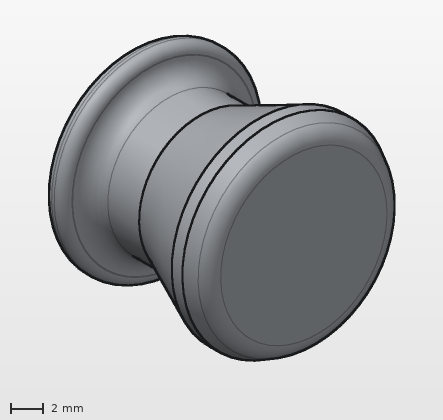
import cadquery as cq
import math

body_radius = 8.19
length = 16.15

front_round_end = 1.79
flange_radius = 8.06
flange_back = 2.8
rim_round = 0.77

neck_radius = 5.72
neck_fillet = 1.52
neck_end = 7.32

flare_end = 13.45
land_end = 14.46
bevel_end = 15.41
bevel_radius = 7.73

diagonal = math.sqrt(0.5)


def polar_point(center, radius, angle):
    """Return the (axial, radial) point at an angle from the axis direction."""
    return (
        center[0] + radius * math.cos(angle),
        center[1] + radius * math.sin(angle),
    )


round_center = (front_round_end, flange_radius - rim_round)
center_offset = front_round_end - rim_round
dome_sphere = (round_center[0] ** 2 + round_center[1] ** 2 - rim_round**2) / (2 * center_offset)
dome_center = (dome_sphere, 0)
dome_edge_angle = math.pi - math.atan2(round_center[1], dome_sphere - front_round_end)
dome_edge = polar_point(dome_center, dome_sphere, dome_edge_angle)
dome_middle = polar_point(dome_center, dome_sphere, (math.pi + dome_edge_angle) / 2)
front_round_middle = polar_point(round_center, rim_round, (dome_edge_angle + math.pi / 2) / 2)

bevel_normal = math.atan2(bevel_end - land_end, body_radius - bevel_radius)
end_round = (length - bevel_end) / (1 - math.cos(bevel_normal))
end_round_center = (length - end_round, bevel_radius - end_round * math.sin(bevel_normal))
end_round_middle = polar_point(end_round_center, end_round, bevel_normal / 2)

back_round_start = flange_back - rim_round
back_round_middle = (
    back_round_start + rim_round * diagonal,
    flange_radius - rim_round * (1 - diagonal),
)
neck_start = flange_back + neck_fillet
neck_fillet_middle = (
    neck_start - neck_fillet * diagonal,
    neck_radius + neck_fillet * (1 - diagonal),
)

profile = (
    cq.Workplane("XZ")
    .moveTo(0, 0)
    .threePointArc(dome_middle, dome_edge)
    .threePointArc(front_round_middle, (front_round_end, flange_radius))
    .lineTo(back_round_start, flange_radius)
    .threePointArc(back_round_middle, (flange_back, flange_radius - rim_round))
    .lineTo(flange_back, neck_radius + neck_fillet)
    .threePointArc(neck_fillet_middle, (neck_start, neck_radius))
    .lineTo(neck_end, neck_radius)
    .lineTo(flare_end, body_radius)
    .lineTo(land_end, body_radius)
    .lineTo(bevel_end, bevel_radius)
    .threePointArc(end_round_middle, (length, end_round_center[1]))
    .lineTo(length, 0)
    .close()
)

result = profile.revolve(360, (0, 0, 0), (1, 0, 0))